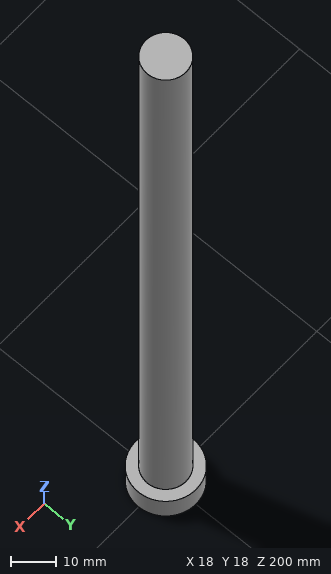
import cadquery as cq

total_length = 200.0
head_diameter = 18.0
head_height = 7.0
shaft_diameter = 12.0

head = cq.Workplane("XY").circle(head_diameter / 2).extrude(head_height)

shaft = cq.Workplane("XY").circle(shaft_diameter / 2).extrude(total_length)

result = head.union(shaft)